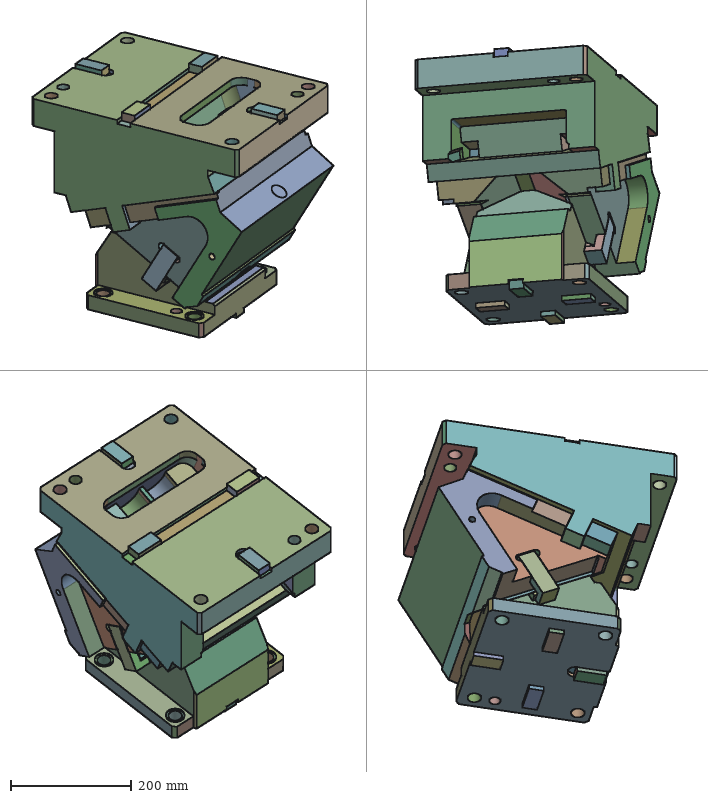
import cadquery as cq
import math

total_height = 393.0
total_width = 300.0
half_width = total_width / 2
key_rise = 8.0
key_width = 25.5
key_length = 50.5
keyway_depth = 7.0

plate_length = 400.5
plate_thickness = 50.2
plate_chamfer = 5.5
plate_top = total_height - key_rise
plate_bottom = plate_top - plate_thickness
block_left = 45.5
block_right = 343.0
block_right_bottom = 323.0
cross_keyway_x = 179.5
cross_key_y = 110.2
end_key_inset = 5.0
keyway_end_gap = 13.5
bolt_hole_radius = 11.0
dowel_hole_radius = 10.2
plate_hole_left = 24.5
plate_hole_right = 374.5
plate_bolt_y = 124.5
left_dowel_y = -85.5
right_dowel_y = 90.0
top_slot_left, top_slot_right = 250.5, 305.0
top_slot_half_length = 100.5
top_slot_corner = 20.5
top_slot_lip = 371.0
top_slot_floor = 70.5
top_slot_floor_start = 94.0
groove_radius = 25.7
groove_y = 30.0
groove_wall = 10.2
window_half_width = 100.5
window_top = 290.0
window_depth = 49.0
window_corner = 4.0
window_foot_half_width = 105.5
window_foot_height = 19.5
window_foot_bevel = 5.0
side_pocket_inner_y = 72.3
side_pocket_top = 265.5
side_pocket_back = 151.0

guide_angle = 20
guide_origin = (176.8, 229.5)
holder_guide_start = -105.5
guide_end = 190.0
holder_nose_height = 30.2
tab_width = 34.5
tab_depth = 43.5

rail_angle = -30
rail_origin = (134.5, 152.0)
roof_angle = 30
rail_length = 189.0
ridge_half_width = 12.2
rail_front_height = 15.5

base_half_width = 82.5
base_left = 84.0
base_right = 316.5
base_bottom = key_rise
base_front_top = 87.5
base_shoulder_left = 115.0
base_back_top = 54.0
base_chamfer_length = 5.5
base_chamfer_width = 2.0
base_back_chamfer = 3.5
flange_left = 90.0
flange_top = 34.5
flange_half_width = 125.0
flange_chamfer = 6.0
flange_bolt_xs = (112.3, 289.0)
flange_dowel_x = 254.0
flange_hole_y = 103.0
flange_bolt_radius = 11.5
flange_dowel_radius = 9.5
counterbore_radius = 15.5
counterbore_depth = 1.5
base_cross_key_x = 195.0
base_cross_key_y = 75.0
eave_half_width = 96.5
eave_start, eave_end = 91.0, 121.5
eave_underside = -15.0

slider_start = -81.2
toe_depth = 41.0
toe_length = 15.5
underside_start = -12.0
slider_end_depth = 33.5
flank = 194.7
flank_top = 210.5
flank_step = 199.0
flank_step_top = 55.5
flank_step_bottom = 31.5
heel = 183.5
heel_height = 13.5
underside_height = 10.2
underside_lip_height = 5.5
band_half_width = 143.0
band_depth = 33.0
shallow_band_depth = 10.5
shallow_band_start = 63.0
rabbet_half_width = 134.7
rabbet_depth = 2.5
web_half_width = 116.8
pocket_wall_point = (275.0, 85.5)
pocket_wall_angle = 60
pocket_radius = 31.0
side_hole_place = (350.5, 177.5)
side_hole_radius = 5.5
side_hole_depth = 12.2
lifting_hole_place = 175.5
lifting_hole_radius = 14.0
lifting_hole_depth = 32.5
keeper_corner = (194.5, 85.5)
keeper_width = 32.2
keeper_length = 84.5
keeper_outer_y = 116.0
keeper_inner_y = 101.0
keeper_foot_y = 85.0
keeper_foot_height = 12.0
relief_radius = 6.5
keeper_end_gap = 1.5

clear = 245.0


def from_frame(origin, angle, along, up):
    """XZ point in a frame turned by angle about Y."""
    c = math.cos(math.radians(angle))
    s = math.sin(math.radians(angle))
    return origin[0] + along * c - up * s, origin[1] + along * s + up * c


def guide(along, up):
    return from_frame(guide_origin, guide_angle, along, up)


def rail(along, up):
    return from_frame(rail_origin, rail_angle, along, up)


def slab(points, y_from, y_to):
    """XZ outline extruded between two Y positions."""
    return cq.Workplane("XZ", origin=(0, y_from, 0)).polyline(points).close().extrude(y_from - y_to)


def both_sides(points, y_inner, y_outer):
    """The same slab on the +Y and the -Y side."""
    return slab(points, y_inner, y_outer).union(slab(points, -y_outer, -y_inner))


def box(x_from, x_to, y_from, y_to, z_from, z_to):
    size = (x_to - x_from, y_to - y_from, z_to - z_from)
    return cq.Workplane("XY").box(*size, centered=False).translate((x_from, y_from, z_from))


def guide_strip(start, end, low, high):
    """Corners of a rectangle in the guide frame."""
    return [guide(start, low), guide(end, low), guide(end, high), guide(start, high)]


def end_key(x_from, z_from, z_to):
    return box(x_from, x_from + key_length, -key_width / 2, key_width / 2, z_from, z_to)


def end_keyway(open_x, round_x, z_from, z_to):
    """Slot along X, running out of the body at open_x and round at its inner end."""
    radius = key_width / 2
    centre = round_x + math.copysign(radius, open_x - round_x)
    slot = box(min(open_x, centre), max(open_x, centre), -radius, radius, z_from, z_to)
    tip = cq.Workplane("XY", origin=(centre, 0, z_from)).circle(radius).extrude(z_to - z_from)
    return slot.union(tip)


def cross_keys(x, y, z_from, z_to):
    """Pair of keys lying along Y."""
    keys = cq.Workplane("XY", origin=(x, 0, z_from)).pushPoints([(0, y), (0, -y)])
    return keys.rect(key_width, key_length).extrude(z_to - z_from)


def cross_plane(origin, angle, along):
    """Plane square to a frame, with Y across and the frame's height up."""
    x, z = from_frame(origin, angle, along, 0)
    turn = math.radians(angle)
    return cq.Plane(origin=(x, 0, z), xDir=(0, 1, 0), normal=(math.cos(turn), 0, math.sin(turn)))


def guide_prism(start, end, section):
    """Section in (Y, height above the guide), swept along the guide."""
    plane = cross_plane(guide_origin, guide_angle, start)
    return cq.Workplane(plane).polyline(section).close().extrude(end - start)


def rail_prism(start, end, section):
    """Section in (Y, height above the rail), swept along the rail."""
    plane = cross_plane(rail_origin, rail_angle, start)
    return cq.Workplane(plane).polyline(section).close().extrude(end - start)


def roof_height(y):
    """Height above the rail of the roof slope that passes through the roof edges of the base."""
    return (base_half_width - y) * math.tan(math.radians(roof_angle))


def roof_section(foot_half_width):
    """Trapezoid between the two roof slopes, from the given half width up to the flat ridge."""
    foot = roof_height(foot_half_width)
    ridge = roof_height(ridge_half_width)
    return [(-foot_half_width, foot), (foot_half_width, foot),
            (ridge_half_width, ridge), (-ridge_half_width, ridge)]


def holder_block():
    nose = guide(holder_guide_start, holder_nose_height)
    outline = [(block_left, plate_bottom), (block_left, nose[1]), nose, guide(holder_guide_start, 0),
               guide(guide_end, 0), (block_right, block_right_bottom), (block_right, plate_bottom)]
    plate = box(0, plate_length, -half_width, half_width, plate_bottom, plate_top)
    plate = plate.edges("|Z").chamfer(plate_chamfer)
    tabs = both_sides(guide_strip(-tab_width, 0, -tab_depth, 0), web_half_width, half_width)
    return plate.union(slab(outline, -half_width, half_width)).union(tabs)


def holder_window():
    """Opening in the left side, with a floor parallel to the guide and a back wall square to it."""
    floor = holder_nose_height
    back = holder_guide_start + window_depth
    room = box(0, plate_length, -window_half_width, window_half_width, 0, window_top)
    room = room.edges("|X and >Z").fillet(window_corner)
    room = room.intersect(slab(guide_strip(-clear, back, floor, clear), -half_width, half_width))
    top = floor + window_foot_height
    shoulder = top - window_foot_bevel
    shoulder_half_width = window_foot_half_width - window_foot_bevel
    section = [(-window_foot_half_width, floor), (window_foot_half_width, floor),
               (window_foot_half_width, shoulder), (shoulder_half_width, top),
               (-shoulder_half_width, top), (-window_foot_half_width, shoulder)]
    foot = guide_prism(-clear, back, section)
    pockets = both_sides(guide_strip(back, clear, floor, clear), side_pocket_inner_y, window_half_width)
    pockets = pockets.intersect(box(0, side_pocket_back, -half_width, half_width, 0, side_pocket_top))
    return room.union(foot).union(pockets)


def along_guide(x, z):
    """Distance along the guide of an XZ point."""
    turn = math.radians(guide_angle)
    return (x - guide_origin[0]) * math.cos(turn) + (z - guide_origin[1]) * math.sin(turn)


def holder_top_slot():
    """Slot that is upright down to its lip and square to the guide below, with two grooves in its floor."""
    mouth = box(top_slot_left, top_slot_right, -top_slot_half_length, top_slot_half_length,
                top_slot_lip, plate_top)
    mouth = mouth.edges("|Z").fillet(top_slot_corner)
    start = top_slot_floor_start
    end = along_guide(top_slot_right, top_slot_lip)
    length = 2 * top_slot_half_length
    turn = math.radians(guide_angle)
    x, z = guide((start + end) / 2, top_slot_floor)
    floor = cq.Plane(origin=(x, 0, z), xDir=(0, 1, 0), normal=(-math.sin(turn), 0, math.cos(turn)))
    outline = cq.Sketch().rect(length, end - start).vertices().fillet(top_slot_corner)
    well = cq.Workplane(floor).placeSketch(outline).extrude(top_slot_lip - z + top_slot_right - top_slot_left)
    well = well.intersect(box(0, plate_length, -half_width, half_width, 0, top_slot_lip))
    slot = mouth.union(well)
    bottom = top_slot_floor - groove_wall
    for y in (-groove_y, groove_y):
        plane = cross_plane(guide_origin, guide_angle, start)
        groove = cq.Workplane(plane).center(y, bottom).moveTo(-groove_radius, groove_wall)
        groove = groove.lineTo(-groove_radius, 0).threePointArc((0, -groove_radius), (groove_radius, 0))
        slot = slot.union(groove.lineTo(groove_radius, groove_wall).close().extrude(end - start))
    return slot


def holder_holes():
    bolts = [(x, y) for x in (plate_hole_left, plate_hole_right) for y in (-plate_bolt_y, plate_bolt_y)]
    dowels = [(plate_hole_left, left_dowel_y), (plate_hole_right, right_dowel_y)]
    plane = cq.Workplane("XY", origin=(0, 0, plate_bottom))
    holes = plane.pushPoints(bolts).circle(bolt_hole_radius).extrude(plate_thickness)
    return holes.union(plane.pushPoints(dowels).circle(dowel_hole_radius).extrude(plate_thickness))


def make_holder():
    floor = plate_top - keyway_depth
    keyway_length = end_key_inset + key_length + keyway_end_gap
    body = holder_block().cut(holder_window()).cut(holder_top_slot()).cut(holder_holes())
    body = body.cut(box(cross_keyway_x - key_width / 2, cross_keyway_x + key_width / 2,
                        -half_width, half_width, floor, plate_top))
    body = body.cut(end_keyway(0, keyway_length, floor, plate_top))
    body = body.cut(end_keyway(plate_length, plate_length - keyway_length, floor, plate_top))
    body = body.union(cross_keys(cross_keyway_x, cross_key_y, floor, total_height))
    for x in (end_key_inset, plate_length - end_key_inset - key_length):
        body = body.union(end_key(x, floor, total_height))
    return body


def slider_block():
    outline = [guide(slider_start, 0), guide(slider_start, -toe_depth),
               guide(slider_start + toe_length, -toe_depth), rail(underside_start, underside_lip_height),
               rail(heel, underside_lip_height), rail(heel, heel_height),
               rail(flank_step, flank_step_bottom), rail(flank_step, flank_step_top),
               rail(flank, flank_step_top), rail(flank, flank_top),
               guide(guide_end, -slider_end_depth), guide(guide_end, 0)]
    return slab(outline, -half_width, half_width)


def slider_underside():
    """Roof-shaped channel, edged by lips whose outer faces are square to the roof slopes."""
    channel = rail_prism(-clear, clear, roof_section(web_half_width))
    slope = math.tan(math.radians(roof_angle))
    lip_y = base_half_width - underside_lip_height / slope
    lip_top_y = lip_y + (underside_height - underside_lip_height) * slope
    for side in (-1, 1):
        relief = [(side * lip_y, underside_lip_height), (side * lip_top_y, underside_height),
                  (side * half_width, underside_height), (side * half_width, underside_lip_height)]
        channel = channel.union(rail_prism(underside_start, heel, relief))
    return channel


def slider_bands():
    """Steps along the upper edges of the sides, and the slots that take the tabs of the holder."""
    deep = guide_strip(-clear, shallow_band_start, -band_depth, 0)
    shallow = guide_strip(0, clear, -shallow_band_depth, 0)
    bands = both_sides(deep, band_half_width, half_width)
    bands = bands.union(both_sides(shallow, band_half_width, half_width))
    bands = bands.union(both_sides(guide_strip(0, clear, -rabbet_depth, 0), rabbet_half_width, half_width))
    return bands.union(both_sides(guide_strip(-tab_width, 0, -tab_depth, 0), web_half_width, half_width))


def slider_side_pockets():
    """Recesses bounded by a line parallel to the guide and a line along the flank, with a round corner."""
    line = guide(0, -band_depth)
    slope = math.tan(math.radians(guide_angle))
    wall_slope = math.tan(math.radians(pocket_wall_angle))
    corner_x = line[1] - pocket_wall_point[1] + wall_slope * pocket_wall_point[0] - slope * line[0]
    corner_x /= wall_slope - slope
    corner = (corner_x, line[1] + slope * (corner_x - line[0]))
    outline = [corner, from_frame(corner, pocket_wall_angle, -2 * clear, 0),
               guide(-clear, -2 * clear), guide(-clear, -band_depth)]
    pockets = both_sides(outline, web_half_width, half_width)
    return pockets.edges("|Y and >X").fillet(pocket_radius)


def slider_side_holes():
    hole_floor = cq.Workplane("XZ", origin=(0, -half_width + side_hole_depth, 0))
    hole = hole_floor.center(*side_hole_place).circle(side_hole_radius).extrude(side_hole_depth)
    return hole.union(hole.mirror("XZ"))


def lifting_hole():
    """Blind hole, square to the end face above the flank."""
    turn = math.radians(rail_angle)
    x, z = rail(lifting_hole_place, flank_top)
    plane = cq.Plane(origin=(x, 0, z), xDir=(0, 1, 0), normal=(math.sin(turn), 0, -math.cos(turn)))
    return cq.Workplane(plane).circle(lifting_hole_radius).extrude(lifting_hole_depth)


def keeper_point(across, up):
    return from_frame(keeper_corner, rail_angle, across, up)


def keeper_rectangle(height):
    return [keeper_point(0, 0), keeper_point(keeper_width, 0),
            keeper_point(keeper_width, height), keeper_point(0, height)]


def keepers():
    """L-shaped bars that hang from the slider beside the base."""
    bars = both_sides(keeper_rectangle(keeper_length), keeper_inner_y, keeper_outer_y)
    return bars.union(both_sides(keeper_rectangle(keeper_foot_height), keeper_foot_y, keeper_inner_y))


def keeper_seats():
    """Recesses for the keepers with round corner reliefs."""
    seat_length = keeper_length + keeper_end_gap
    seats = both_sides(keeper_rectangle(seat_length), keeper_inner_y, web_half_width)
    corners = [keeper_point(across, seat_length - relief_radius) for across in (0, keeper_width)]
    relief = cq.Workplane("XZ", origin=(0, -keeper_inner_y, 0)).pushPoints(corners)
    relief = relief.circle(relief_radius).extrude(web_half_width - keeper_inner_y)
    return seats.union(relief).union(relief.mirror("XZ"))


def make_slider():
    body = slider_block().cut(slider_underside()).cut(slider_bands()).cut(slider_side_pockets())
    body = body.cut(slider_side_holes()).cut(lifting_hole())
    return body.cut(keeper_seats()).union(keepers())


def base_block():
    front = rail(0, -rail_front_height)
    back = rail(rail_length, 0)
    outline = [(base_left, base_bottom), (base_left, base_front_top), (base_shoulder_left, front[1]),
               front, rail(0, 0), back, (back[0], base_back_top),
               (base_right - base_back_chamfer, base_back_top),
               (base_right, base_back_top - base_back_chamfer), (base_right, base_bottom)]
    block = slab(outline, -base_half_width, base_half_width)
    for side in (-1, 1):
        edge = side * base_half_width
        corner = [(base_left, edge), (base_left + base_chamfer_length, edge),
                  (base_left, edge - side * base_chamfer_width)]
        block = block.cut(cq.Workplane("XY").polyline(corner).close().extrude(total_height))
    return block.union(rail_prism(0, rail_length, roof_section(base_half_width)))


def base_eaves():
    """Short ledges that carry the roof slopes on beyond the sides of the block."""
    return rail_prism(eave_start, eave_end, [
        (-eave_half_width, eave_underside), (eave_half_width, eave_underside),
        (eave_half_width, roof_height(eave_half_width)), (base_half_width, 0),
        (-base_half_width, 0), (-eave_half_width, roof_height(eave_half_width))])


def base_flange():
    flange = box(flange_left, base_right, -flange_half_width, flange_half_width, base_bottom, flange_top)
    flange = flange.edges("|Z").chamfer(flange_chamfer)
    bolts = [(x, y) for x in flange_bolt_xs for y in (-flange_hole_y, flange_hole_y)]
    top = flange.faces(">Z").workplane(origin=(0, 0, flange_top))
    top = top.pushPoints(bolts)
    flange = top.cboreHole(2 * flange_bolt_radius, 2 * counterbore_radius, counterbore_depth)
    top = flange.faces(">Z").workplane(origin=(0, 0, flange_top))
    return top.pushPoints([(flange_dowel_x, -flange_hole_y)]).hole(2 * flange_dowel_radius)


def make_base():
    ceiling = base_bottom + keyway_depth
    keyway_length = end_key_inset + key_length + keyway_end_gap
    body = base_block().union(base_eaves()).union(base_flange())
    body = body.cut(end_keyway(base_left, base_left + keyway_length, base_bottom, ceiling))
    for x in (base_left + end_key_inset, base_right - key_length):
        body = body.union(end_key(x, 0, ceiling))
    return body.union(cross_keys(base_cross_key_x, base_cross_key_y, 0, base_bottom))


holder = make_holder()
slider = make_slider()
base = make_base()

result = cq.Compound.makeCompound([holder.solids().val(), slider.solids().val(), base.solids().val()])